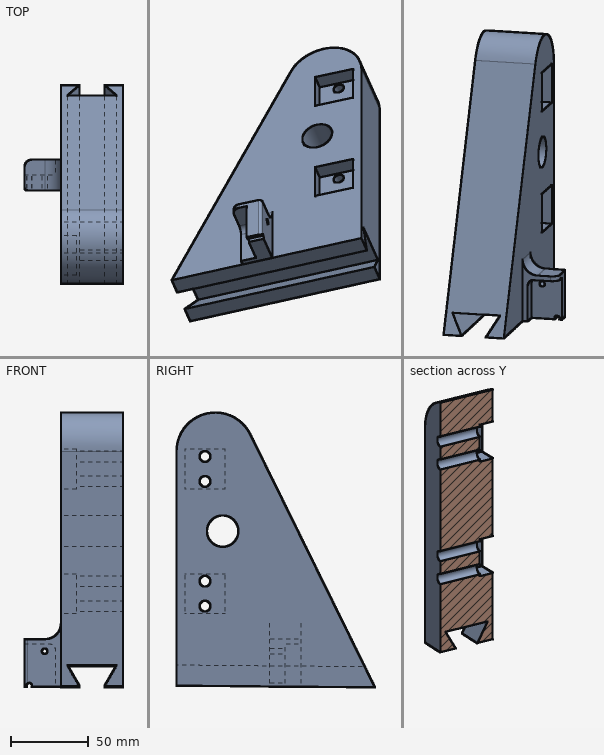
import cadquery as cq
import math

body_thickness = 40.0
body_length = 127.5
body_height = 176.47
nose_radius = 25.0
base_rise = 1.1

dovetail_mouth = 16.0
dovetail_roof = 31.4
dovetail_depth = 13.3

bore_diameter = 20.0
bore_y = 29.7
bore_z = 100.3
pocket_size = 25.5
pocket_depth = 10.0
pocket_y = 18.35
pocket_heights = (60.2, 140.2)
screw_diameter = 6.8
screw_spacing = 16.0

bracket_reach = 23.4
bracket_width = 20.0
bracket_front_y = 59.8
bracket_bottom = 0.4
bracket_top = 31.1
bracket_blend_radius = 10.0
leg_width = 10.0
plate_thickness = 3.2
back_wall = 3.4
recess_radius = 4.0
front_corner_radius = 2.0
back_corner_radius = 5.0
pin_diameter = 3.4
pin_positions = ((-10.4, 23.3), (-20.2, 1.2))


def box(x_range, y_range, z_range):
    size = [high - low for low, high in (x_range, y_range, z_range)]
    corner = (x_range[0], y_range[0], z_range[0])
    return cq.Workplane("XY").box(*size, centered=False).translate(corner)


def cylinder_along_x(y, z, diameter, length):
    return cq.Workplane("YZ").center(y, z).circle(diameter / 2).extrude(length)


def make_body():
    center_y = nose_radius
    center_z = body_height - nose_radius
    run = body_length - center_y
    back_slope = math.atan2(run, center_z) - math.asin(nose_radius / math.hypot(run, center_z))
    tangent_y = center_y + nose_radius * math.cos(back_slope)
    tangent_z = center_z + nose_radius * math.sin(back_slope)
    return (
        cq.Workplane("YZ")
        .moveTo(0, base_rise)
        .lineTo(body_length, 0)
        .lineTo(tangent_y, tangent_z)
        .threePointArc((center_y, body_height), (0, center_z))
        .close()
        .extrude(body_thickness)
    )


def make_dovetail():
    overrun = 5.0
    slope = base_rise / body_length
    start_z = base_rise + overrun * slope
    end_y = body_length + overrun
    low_half = dovetail_mouth / 2
    roof_half = dovetail_roof / 2
    middle = body_thickness / 2
    section = [
        (middle - low_half, start_z - overrun),
        (middle - low_half, start_z),
        (middle - roof_half, start_z + dovetail_depth),
        (middle + roof_half, start_z + dovetail_depth),
        (middle + low_half, start_z),
        (middle + low_half, start_z - overrun),
    ]
    path = cq.Workplane("YZ").moveTo(-overrun, start_z).lineTo(end_y, -overrun * slope)
    return cq.Workplane("XZ", origin=(0, -overrun, 0)).polyline(section).close().sweep(path)


def make_pocket(z):
    half = pocket_size / 2
    pocket = box((0, pocket_depth), (pocket_y - half, pocket_y + half), (z - half, z + half))
    for side in (-1, 1):
        screw_z = z + side * screw_spacing / 2
        pocket = pocket.union(cylinder_along_x(pocket_y, screw_z, screw_diameter, body_thickness))
    return pocket


def make_bracket():
    back_y = bracket_front_y + bracket_width
    blend_top = bracket_top + bracket_blend_radius
    blend_middle = bracket_blend_radius * (1 - math.sqrt(0.5))
    bracket = (
        cq.Workplane("XZ", origin=(0, back_y, 0))
        .moveTo(0, bracket_bottom)
        .lineTo(-bracket_reach, bracket_bottom)
        .lineTo(-bracket_reach, bracket_top)
        .lineTo(-bracket_blend_radius, bracket_top)
        .threePointArc((-blend_middle, bracket_top + blend_middle), (0, blend_top))
        .close()
        .extrude(bracket_width)
    )
    bracket = bracket.edges("|Z and <X and <Y").fillet(front_corner_radius)
    bracket = bracket.edges("|Z and <X and >Y").fillet(back_corner_radius)

    recess = box(
        (-bracket_reach, -back_wall),
        (bracket_front_y + leg_width, back_y),
        (bracket_bottom, bracket_top - plate_thickness),
    )
    recess = recess.edges("|Y and >X and >Z").fillet(recess_radius)
    bracket = bracket.cut(recess)

    pins = (
        cq.Workplane("XZ", origin=(0, back_y, 0))
        .pushPoints(pin_positions)
        .circle(pin_diameter / 2)
        .extrude(bracket_width)
    )
    return bracket.cut(pins)


result = make_body().cut(make_dovetail())
result = result.cut(cylinder_along_x(bore_y, bore_z, bore_diameter, body_thickness))
for pocket_z in pocket_heights:
    result = result.cut(make_pocket(pocket_z))
result = result.union(make_bracket())